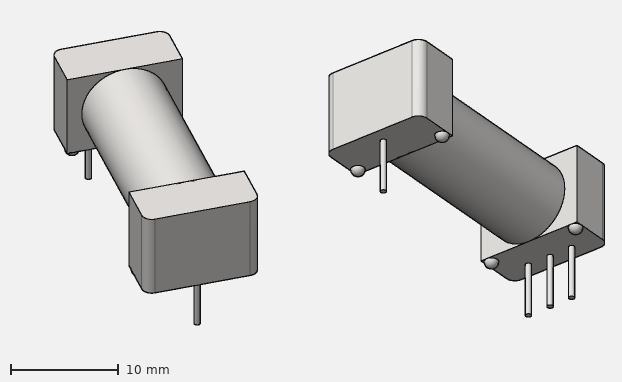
import cadquery as cq

length = 28.75
width = 11.25
body_diameter = 8.4
block_length = 4.9
corner_radius = 0.98

pin_diameter = 0.6
pin_length = 5.55
pin_row_x = 12.7
pin_pitch = 2.53
left_pin_count = 3
right_pin_count = 1

foot_radius = 0.7

block_inner_x = length / 2 - block_length
foot_x = block_inner_x + foot_radius
foot_y = width / 2 - foot_radius


def end_block(side):
    """End block with its two outer vertical edges rounded; side is -1 or +1."""
    outer_edges = "|Z and >X" if side > 0 else "|Z and <X"
    return (
        cq.Workplane("XY")
        .box(block_length, width, body_diameter, centered=(True, True, False))
        .edges(outer_edges)
        .fillet(corner_radius)
        .translate((side * (length - block_length) / 2, 0, 0))
    )


def pin_row(side, pin_count):
    """Row of round pins below one end block, rooted inside the block."""
    root_depth = pin_diameter
    return (
        cq.Workplane("XY", origin=(side * pin_row_x, 0, -pin_length))
        .rarray(0.3, pin_pitch, 1, pin_count)
        .circle(pin_diameter / 2)
        .extrude(pin_length + root_depth)
    )


def feet(side):
    """Two ball-shaped standoff feet, half sunk into the block underside."""
    return (
        cq.Workplane("XY")
        .pushPoints([(side * foot_x, -foot_y), (side * foot_x, foot_y)])
        .sphere(foot_radius)
    )


result = (
    cq.Workplane("YZ", origin=(-block_inner_x, 0, body_diameter / 2))
    .circle(body_diameter / 2)
    .extrude(2 * block_inner_x)
)

for side, pin_count in ((-1, left_pin_count), (1, right_pin_count)):
    result = result.union(end_block(side)).union(pin_row(side, pin_count)).union(feet(side))